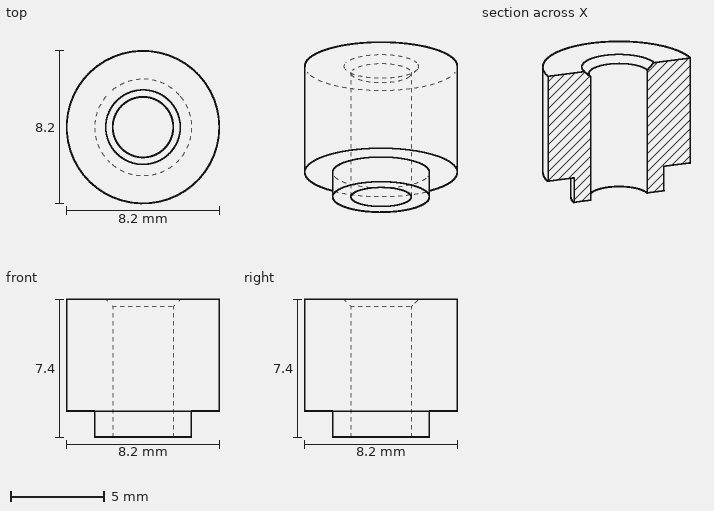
import cadquery as cq

body_diameter = 8.2
spigot_diameter = 5.2
bore_diameter = 3.24
countersink_diameter = 4.0

total_height = 7.4
spigot_height = 1.39
body_height = total_height - spigot_height

countersink_depth = (countersink_diameter - bore_diameter) / 2

spigot = cq.Workplane("XY").circle(spigot_diameter / 2).extrude(spigot_height)
body = (
    cq.Workplane("XY")
    .workplane(offset=spigot_height)
    .circle(body_diameter / 2)
    .extrude(body_height)
)
bushing = spigot.union(body)

bore = cq.Workplane("XY").circle(bore_diameter / 2).extrude(total_height)
bushing = bushing.cut(bore)

result = (
    bushing.faces(">Z")
    .edges(cq.selectors.RadiusNthSelector(0))
    .chamfer(countersink_depth)
)